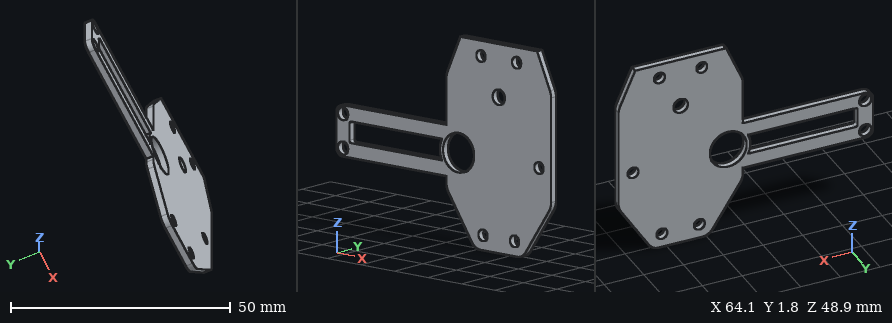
import cadquery as cq

length = 64.1
height = 48.9
thickness = 1.8

body_width = 31.3
body_center_x = length - body_width / 2
top_edge_width = 22.95
bottom_edge_width = 14.25
upper_corner_z = 39.5
lower_corner_z = 13.0
side_corner_radius = 4.0
bottom_corner_radius = 3.0

arm_center_z = 21.75
arm_width = 12.0
arm_corner_radius = 2.0
slot_start_x = 3.9
slot_width = 5.0
slot_corner_radius = 0.6

bore_center_x = 36.5
bore_diameter = 9.2
bore_wall = 0.95

mount_hole_diameter = 2.7
top_hole_spacing = 10.65
top_hole_z = 45.3
bottom_hole_spacing = 9.4
bottom_hole_z = 3.5
side_hole_x = 60.45
pivot_hole_diameter = 3.6
pivot_hole_z = 36.5
arm_hole_diameter = 3.0
arm_hole_x = arm_corner_radius
arm_hole_spacing = arm_width - 2 * arm_corner_radius


def front_plane():
    """Sketch plane on the -Y face: local x is X, local y is Z."""
    return cq.Workplane("XZ")


def cylinder(x, z, diameter):
    return front_plane().center(x, z).circle(diameter / 2).extrude(-thickness)


def bar(start_x, end_x, width):
    """Horizontal bar centred on the arm."""
    bar_length = end_x - start_x
    return (
        front_plane()
        .center(start_x + bar_length / 2, arm_center_z)
        .rect(bar_length, width)
        .extrude(-thickness)
    )


def mirrored_pair(spacing, z):
    """Two points level with each other about the body centre line."""
    return [(body_center_x + side * spacing / 2, z) for side in (-1, 1)]


def make_body():
    bottom = mirrored_pair(bottom_edge_width, 0)
    lower = mirrored_pair(body_width, lower_corner_z)
    upper = mirrored_pair(body_width, upper_corner_z)
    top = mirrored_pair(top_edge_width, height)
    left_side = [bottom[0], lower[0], upper[0], top[0]]
    right_side = [top[1], upper[1], lower[1], bottom[1]]
    body = front_plane().polyline(left_side + right_side).close().extrude(-thickness)

    body = body.edges("|Y").edges(
        cq.selectors.BoxSelector(
            (0, -thickness, lower_corner_z / 2),
            (2 * length, 2 * thickness, (upper_corner_z + height) / 2),
        )
    ).fillet(side_corner_radius)
    return body.edges("|Y and <Z").fillet(bottom_corner_radius)


def make_arm():
    arm = bar(0, bore_center_x, arm_width)
    return arm.edges("|Y and <X").fillet(arm_corner_radius)


def make_slot():
    slot = bar(slot_start_x, bore_center_x, slot_width)
    slot = slot.edges("|Y and <X").fillet(slot_corner_radius)
    return slot.cut(cylinder(bore_center_x, arm_center_z, bore_diameter + 2 * bore_wall))


def cut_holes(plate, points, diameter):
    for x, z in points:
        plate = plate.cut(cylinder(x, z, diameter))
    return plate


mount_points = (
    mirrored_pair(top_hole_spacing, top_hole_z)
    + mirrored_pair(bottom_hole_spacing, bottom_hole_z)
    + [(side_hole_x, arm_center_z)]
)
arm_points = [(arm_hole_x, arm_center_z + side * arm_hole_spacing / 2) for side in (-1, 1)]

result = make_body().union(make_arm()).cut(make_slot())
result = cut_holes(result, [(bore_center_x, arm_center_z)], bore_diameter)
result = cut_holes(result, [(body_center_x, pivot_hole_z)], pivot_hole_diameter)
result = cut_holes(result, mount_points, mount_hole_diameter)
result = cut_holes(result, arm_points, arm_hole_diameter)